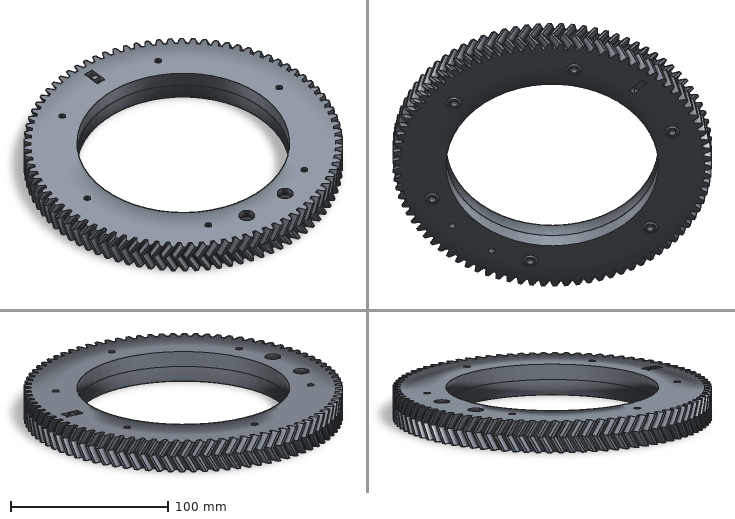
import cadquery as cq
import math

OUTER_RADIUS = 101.2
BORE_RADIUS = 135.0 / 2
GEAR_THICKNESS = 20.0
HALF_THICKNESS = GEAR_THICKNESS / 2
TOOTH_COUNT = 86
TOOTH_DEPTH = 4.5
GAP_WIDTH_AT_TIP = 5.5
GAP_WIDTH_AT_MIDDLE = 3.5
GAP_WIDTH_AT_ROOT = 2.0
HELIX_ANGLE = 30.0
FIRST_GAP_ANGLE = 1.2

AXIS_ANGLE = -2.0
HOLE_CIRCLE_RADIUS = 81.2
HOLE_DIAMETER = 4.3
BOLT_COUNT = 6
BOLT_START_ANGLE = AXIS_ANGLE + 360 / BOLT_COUNT / 2
PLAIN_HOLE_ANGLES = [BOLT_START_ANGLE + i * 360 / BOLT_COUNT for i in range(BOLT_COUNT)]
COUNTERBORE_OFFSET_ANGLE = 11.5
COUNTERBORE_ANGLES = [AXIS_ANGLE + side * COUNTERBORE_OFFSET_ANGLE for side in (-1, 1)]
COUNTERBORE_DIAMETER = 10.0
COUNTERBORE_DEPTH = 5.5
BOSS_BASE_DIAMETER = 9.3
BOSS_HEIGHT = 1.0

SLOT_INNER_RADIUS = 79.2
SLOT_OUTER_RADIUS = 91.0
UPPER_SLOT_WIDTH = 6.0
LOWER_SLOT_WIDTH = 4.0
WEDGE_INNER_RADIUS = 83.2
WEDGE_TOP_LENGTH = 3.2
WEDGE_TOP_GAP = 0.2

HALF_TWIST = math.degrees(HALF_THICKNESS * math.tan(math.radians(HELIX_ANGLE)) / OUTER_RADIUS)


def polar(radius, degrees):
    angle = math.radians(degrees)
    return (radius * math.cos(angle), radius * math.sin(angle))


def gear_outline(first_gap_angle):
    """Closed tooth outline: tips on the outer circle, curved flanks and flat gap floors."""
    pitch = 360 / TOOTH_COUNT
    root_radius = OUTER_RADIUS - TOOTH_DEPTH
    middle_radius = OUTER_RADIUS - TOOTH_DEPTH / 2
    tip = math.degrees(GAP_WIDTH_AT_TIP / 2 / OUTER_RADIUS)
    middle = math.degrees(GAP_WIDTH_AT_MIDDLE / 2 / middle_radius)
    root = math.degrees(GAP_WIDTH_AT_ROOT / 2 / root_radius)
    outline = cq.Workplane("XY").moveTo(*polar(OUTER_RADIUS, first_gap_angle - tip))
    for tooth in range(TOOTH_COUNT):
        gap = first_gap_angle + tooth * pitch
        outline = (
            outline
            .threePointArc(polar(middle_radius, gap - middle), polar(root_radius, gap - root))
            .lineTo(*polar(root_radius, gap + root))
            .threePointArc(polar(middle_radius, gap + middle), polar(OUTER_RADIUS, gap + tip))
            .threePointArc(polar(OUTER_RADIUS, gap + pitch / 2), polar(OUTER_RADIUS, gap + pitch - tip))
        )
    return outline.close()


def half_ring(first_gap_angle, twist):
    """One helical half of the gear, standing on Z = 0, with its bore."""
    ring = gear_outline(first_gap_angle).twistExtrude(HALF_THICKNESS, twist)
    bore = cq.Workplane("XY").circle(BORE_RADIUS).extrude(HALF_THICKNESS)
    return ring.cut(bore)


def drills(angles, diameter, bottom, top):
    """Cylinders on the hole circle at the given angles."""
    points = [polar(HOLE_CIRCLE_RADIUS, angle) for angle in angles]
    centers = cq.Workplane("XY").workplane(offset=bottom).pushPoints(points)
    return centers.circle(diameter / 2).extrude(top - bottom)


def turn_to_axis(shape):
    return shape.rotate((0, 0, 0), (0, 0, 1), AXIS_ANGLE)


def slot(width, bottom):
    """Radial slot cutter through one gear half, on the -X end of the feature axis."""
    length = SLOT_OUTER_RADIUS - SLOT_INNER_RADIUS
    cutter = (
        cq.Workplane("XY")
        .box(length, width, HALF_THICKNESS, centered=(False, True, False))
        .translate((-SLOT_OUTER_RADIUS, 0, bottom))
    )
    return turn_to_axis(cutter)


def bosses():
    """45-degree conical bosses around the plain holes, below the lower face."""
    bottom_radius = BOSS_BASE_DIAMETER / 2 - BOSS_HEIGHT
    cone = cq.Solid.makeCone(bottom_radius, BOSS_BASE_DIAMETER / 2, BOSS_HEIGHT)
    points = [polar(HOLE_CIRCLE_RADIUS, angle) for angle in PLAIN_HOLE_ANGLES]
    centers = cq.Workplane("XY").workplane(offset=-BOSS_HEIGHT).pushPoints(points)
    return centers.eachpoint(lambda place: cone.moved(place))


def all_through_holes():
    return drills(PLAIN_HOLE_ANGLES + COUNTERBORE_ANGLES, HOLE_DIAMETER, -BOSS_HEIGHT, GEAR_THICKNESS)


def make_upper_gear():
    ring = half_ring(FIRST_GAP_ANGLE - HALF_TWIST, HALF_TWIST).translate((0, 0, HALF_THICKNESS))
    counterbores = drills(
        COUNTERBORE_ANGLES, COUNTERBORE_DIAMETER, GEAR_THICKNESS - COUNTERBORE_DEPTH, GEAR_THICKNESS
    )
    return ring.cut(all_through_holes()).cut(counterbores).cut(slot(UPPER_SLOT_WIDTH, HALF_THICKNESS))


def make_lower_gear():
    ring = half_ring(FIRST_GAP_ANGLE, -HALF_TWIST)
    return ring.union(bosses()).cut(all_through_holes()).cut(slot(LOWER_SLOT_WIDTH, 0))


def make_wedge():
    """Wedge in the slot: upright inner side, outer side sloping out to the slot's end at the bottom."""
    top = GEAR_THICKNESS - WEDGE_TOP_GAP
    side_profile = [
        (-WEDGE_INNER_RADIUS, 0),
        (-WEDGE_INNER_RADIUS, top),
        (-WEDGE_INNER_RADIUS - WEDGE_TOP_LENGTH, top),
        (-SLOT_OUTER_RADIUS, 0),
    ]
    wedge = cq.Workplane("XZ").polyline(side_profile).close().extrude(LOWER_SLOT_WIDTH / 2, both=True)
    return turn_to_axis(wedge)


upper_gear = make_upper_gear()
lower_gear = make_lower_gear()
wedge = make_wedge()

result = cq.Compound.makeCompound([upper_gear.val(), lower_gear.val(), wedge.val()])